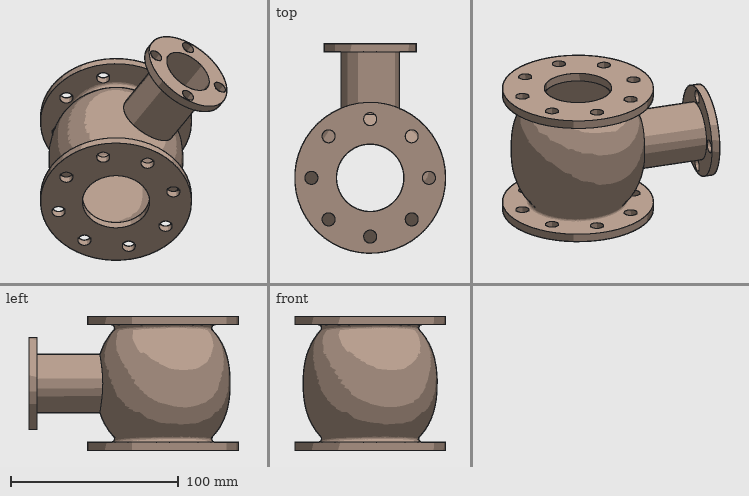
import cadquery as cq

body_height = 80.0
flange_thickness = 5.0
barrel_wall_thickness = 5.0
half_height = body_height / 2
barrel_half_height = half_height - flange_thickness

main_flange_diameter = 90.0
main_bore_diameter = 40.0
main_bolt_circle_diameter = 70.0
main_bolt_count = 8

barrel_diameter = 80.0
barrel_end_diameter = 52.0
neck_fillet_radius = 2.0
cavity_diameter = barrel_diameter - 2 * barrel_wall_thickness

branch_reach = 80.0
branch_pipe_diameter = 35.0
branch_bore_diameter = 30.0
branch_flange_diameter = 55.0
branch_bolt_circle_diameter = 45.0
branch_bolt_count = 4

bolt_hole_diameter = 7.75


def barrel(middle_diameter, end_diameter):
    """Solid of revolution, flattest at mid-height and curving in to both ends."""
    middle_radius = middle_diameter / 2
    end_radius = end_diameter / 2
    curve_depth = middle_radius - end_radius
    top_end = (end_radius, barrel_half_height)
    bottom_end = (end_radius, -barrel_half_height)
    end_slope = 3 * curve_depth / barrel_half_height
    return (
        cq.Workplane("XZ")
        .moveTo(0, -barrel_half_height)
        .lineTo(*bottom_end)
        .spline(
            [(middle_radius, 0), top_end],
            tangents=[(end_slope, 1), (-end_slope, 1)],
            includeCurrent=True,
        )
        .lineTo(0, barrel_half_height)
        .close()
        .revolve(360, (0, 0, 0), (0, 1, 0))
    )


def cylinder_along_z(diameter, bottom, height):
    return cq.Workplane("XY").workplane(offset=bottom).circle(diameter / 2).extrude(height)


def cylinder_along_y(diameter, start, length):
    return cq.Workplane("XZ", origin=(0, start, 0)).circle(diameter / 2).extrude(-length)


def main_body():
    """Barrel between its two flanges, with filleted necks."""
    top_flange = cylinder_along_z(main_flange_diameter, barrel_half_height, flange_thickness)
    bottom_flange = cylinder_along_z(main_flange_diameter, -half_height, flange_thickness)
    body = barrel(barrel_diameter, barrel_end_diameter).union(top_flange).union(bottom_flange)
    neck_size = barrel_end_diameter / 2 + neck_fillet_radius
    neck_edges = cq.selectors.BoxSelector(
        (-neck_size, -neck_size, -half_height + neck_fillet_radius),
        (neck_size, neck_size, half_height - neck_fillet_radius),
        boundingbox=True,
    )
    return body.edges(neck_edges).edges("%CIRCLE").fillet(neck_fillet_radius)


def branch():
    """Side pipe from the barrel axis out to its end flange."""
    pipe = cylinder_along_y(branch_pipe_diameter, 0, branch_reach)
    flange_start = branch_reach - flange_thickness
    return pipe.union(cylinder_along_y(branch_flange_diameter, flange_start, flange_thickness))


def passages():
    """Main bore, chamber cavity and branch bore."""
    main_bore = cylinder_along_z(main_bore_diameter, -half_height, body_height)
    cavity = barrel(cavity_diameter, main_bore_diameter)
    branch_bore = cylinder_along_y(branch_bore_diameter, 0, branch_reach)
    return main_bore.union(cavity).union(branch_bore)


def main_bolt_holes(flange_bottom):
    return (
        cq.Workplane("XY")
        .workplane(offset=flange_bottom)
        .polarArray(main_bolt_circle_diameter / 2, 0, 360, main_bolt_count)
        .circle(bolt_hole_diameter / 2)
        .extrude(flange_thickness)
    )


def branch_bolt_holes():
    return (
        cq.Workplane("XZ", origin=(0, branch_reach, 0))
        .polarArray(branch_bolt_circle_diameter / 2, 0, 360, branch_bolt_count)
        .circle(bolt_hole_diameter / 2)
        .extrude(flange_thickness)
    )


result = main_body().union(branch()).cut(passages())
for flange_bottom in (-half_height, barrel_half_height):
    result = result.cut(main_bolt_holes(flange_bottom))
result = result.cut(branch_bolt_holes())